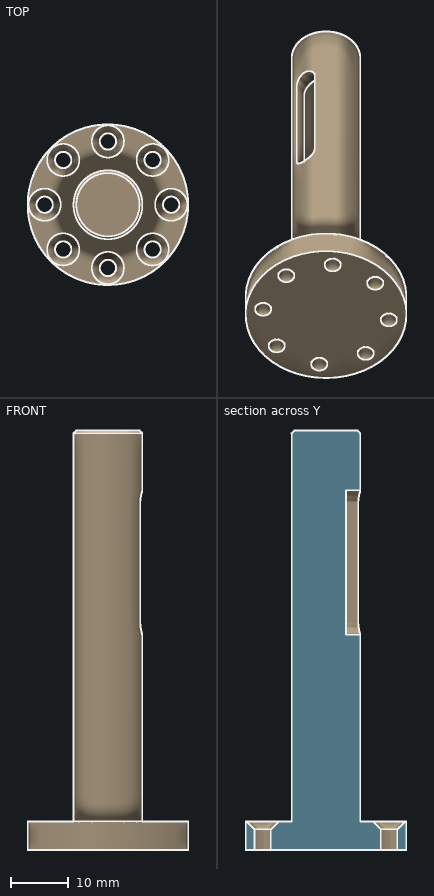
import cadquery as cq

flange_diameter = 28.0
flange_thickness = 5.0

shaft_diameter = 12.0
shaft_radius = shaft_diameter / 2
overall_height = 73.0
shaft_length = overall_height - flange_thickness
shaft_tip_chamfer = 0.5

screw_count = 8
screw_circle_diameter = 22.0
screw_hole_diameter = 2.8
countersink_diameter = 5.6
countersink_angle = 90.0

key_width = 4.0
key_length = 25.0
key_depth = 2.5
key_center_height = 50.0


def make_flange():
    flange = cq.Workplane("XY").circle(flange_diameter / 2).extrude(flange_thickness)
    return (
        flange.faces(">Z")
        .workplane()
        .polarArray(screw_circle_diameter / 2, 0, 360, screw_count)
        .cskHole(screw_hole_diameter, countersink_diameter, countersink_angle)
    )


def make_shaft():
    shaft = cq.Workplane("XY", origin=(0, 0, flange_thickness)).circle(shaft_radius).extrude(shaft_length)
    return shaft.faces(">Z").chamfer(shaft_tip_chamfer)


def make_keyway_cutter():
    floor_x = shaft_radius - key_depth
    return (
        cq.Workplane("YZ", origin=(floor_x, 0, key_center_height))
        .slot2D(key_length, key_width, 90)
        .extrude(key_depth)
    )


result = make_flange().union(make_shaft()).cut(make_keyway_cutter())